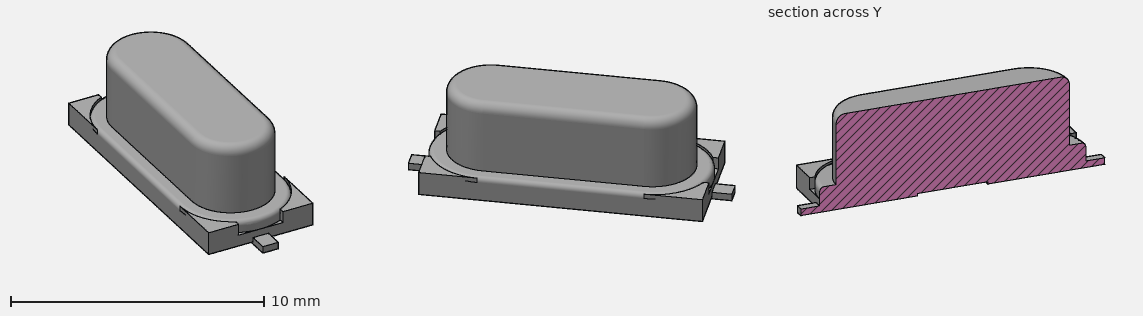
import cadquery as cq

base_length = 11.4
base_width = 4.7
base_bottom = 0.1
base_top = 1.1

seat_level = 0.6
flange_fillet = 0.2

end_notch_width = 2.0

can_length = 10.0
can_width = 3.5
can_top = 4.1
can_fillet = 0.4

lead_span = 13.0
lead_gap = 3.0
lead_width = 0.7
lead_top = 0.3


def stadium(length, width, bottom, top):
    """Upright prism with straight sides and full-round ends along X."""
    return (
        cq.Workplane("XY")
        .workplane(offset=bottom)
        .slot2D(length, width)
        .extrude(top - bottom)
    )


def block(length, width, bottom, top, center_x=0):
    """Rectangular block centred on the X axis line."""
    return (
        cq.Workplane("XY")
        .workplane(offset=bottom)
        .center(center_x, 0)
        .rect(length, width)
        .extrude(top - bottom)
    )


def make_base():
    """Plate with a round-ended seat that breaks out at the sides and the ends."""
    plate = block(base_length, base_width, base_bottom, base_top)
    seat = stadium(base_length, base_width, seat_level, base_top)
    end_notch = block(base_length, end_notch_width, seat_level, base_top)
    return plate.cut(seat).cut(end_notch)


def make_can():
    """Round-ended can standing on its rounded flange."""
    flange = stadium(base_length, base_width, seat_level, base_top)
    flange = flange.faces(">Z").edges().fillet(flange_fillet)
    can = stadium(can_length, can_width, seat_level, can_top)
    can = can.faces(">Z").edges().fillet(can_fillet)
    return flange.union(can)


def make_lead(side):
    """Flat lead running under the base and out past its end."""
    length = (lead_span - lead_gap) / 2
    center_x = side * (lead_span + lead_gap) / 4
    return block(length, lead_width, 0, lead_top, center_x)


result = make_base().union(make_can())
for side in (-1, 1):
    result = result.union(make_lead(side))